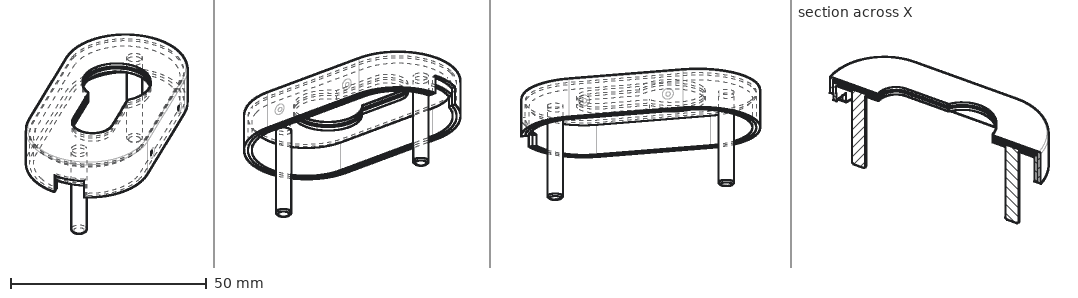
import cadquery as cq
import math

width = 32.0
length = 62.0
height = 10.5
straight_length = length - width

cover_wall = 1.0
cover_roof = 0.9
top_fillet = 0.5

roof_gap = 0.6
base_plate = 1.0
base_skirt = 1.0
base_width = width - 2 * cover_wall
base_height = height - cover_roof - roof_gap
base_cavity_width = base_width - 2 * base_skirt
base_cavity_height = base_height - base_plate

keyhole_length = 33.5
keyhole_diameter = 17.5
keyhole_slot_width = 10.5
keyhole_circle_y = (keyhole_length - keyhole_diameter) / 2
keyhole_slot_end_y = (keyhole_slot_width - keyhole_length) / 2

notch_width = 8.0
cover_notch_height = 5.0
base_notch_height = 3.0

stud_diameter = 4.0
stud_spacing = 45.0
stud_projection = 16.0
stud_chamfer = 0.5

dimple_spacing = 22.0
dimple_z = 4.0
dimple_mouth_diameter = 2.9
dimple_cone_diameter = 1.2
dimple_slope = math.radians(25)


def stadium(across, tall):
    """Stadium prism standing on Z = 0, its round ends sharing the cover's end centres."""
    return cq.Workplane("XY").slot2D(straight_length + across, across, 90).extrude(tall)


def keyhole():
    """Cutter for the opening: a circle joined to a round-ended slot."""
    circle = cq.Workplane("XY").center(0, keyhole_circle_y).circle(keyhole_diameter / 2).extrude(height)
    slot_reach = keyhole_circle_y - keyhole_slot_end_y
    slot = (
        cq.Workplane("XY")
        .center(0, (keyhole_circle_y + keyhole_slot_end_y) / 2)
        .rect(keyhole_slot_width, slot_reach)
        .extrude(height)
    )
    slot_end = (
        cq.Workplane("XY").center(0, keyhole_slot_end_y).circle(keyhole_slot_width / 2).extrude(height)
    )
    return circle.union(slot).union(slot_end)


def end_notch(notch_height):
    """Cutter for a notch open to the bottom and to the -Y end."""
    notch_reach = width / 2
    return (
        cq.Workplane("XY")
        .center(0, (notch_reach - length) / 2)
        .rect(notch_width, notch_reach)
        .extrude(notch_height)
    )


def dimple(y):
    """Cutter for one dimple in the -X side, turned about an axis along X."""
    mouth_radius = dimple_mouth_diameter / 2
    cone_radius = dimple_cone_diameter / 2
    lip_radius = (mouth_radius - cone_radius) / math.sin(dimple_slope)
    lip_depth = lip_radius * (1 - math.cos(dimple_slope))
    lip_middle = (
        lip_radius * (1 - math.cos(dimple_slope / 2)),
        mouth_radius - lip_radius * math.sin(dimple_slope / 2),
    )
    cone_depth = cone_radius * math.tan(dimple_slope)
    profile = (
        cq.Workplane("XY")
        .moveTo(0, 0)
        .lineTo(0, mouth_radius)
        .threePointArc(lip_middle, (lip_depth, cone_radius))
        .lineTo(lip_depth + cone_depth, 0)
        .close()
    )
    return profile.revolve(360, (0, 0), (1, 0)).translate((-width / 2, y, dimple_z))


def make_cover():
    body = stadium(width, height).faces(">Z").edges().fillet(top_fillet)
    body = body.cut(stadium(base_width, height - cover_roof))
    body = body.cut(keyhole()).cut(end_notch(cover_notch_height))
    for side in (-1, 1):
        cutter = dimple(side * dimple_spacing / 2)
        body = body.cut(cutter).cut(cutter.mirror("YZ"))
    return body


def make_base():
    body = stadium(base_width, base_height).cut(stadium(base_cavity_width, base_cavity_height))
    body = body.cut(keyhole()).cut(end_notch(base_notch_height))
    stud_holes = (
        cq.Workplane("XY")
        .pushPoints([(0, -stud_spacing / 2), (0, stud_spacing / 2)])
        .circle(stud_diameter / 2)
        .extrude(base_height)
    )
    return body.cut(stud_holes)


def make_stud(y):
    """Stud with a chamfered tip, seated through the base plate."""
    return (
        cq.Workplane("XY", origin=(0, y, -stud_projection))
        .circle(stud_diameter / 2)
        .extrude(stud_projection + base_height)
        .faces("<Z")
        .chamfer(stud_chamfer)
    )


cover = make_cover()
base = make_base()
studs = [make_stud(side * stud_spacing / 2) for side in (-1, 1)]

result = cq.Compound.makeCompound([cover.val(), base.val(), *[stud.val() for stud in studs]])